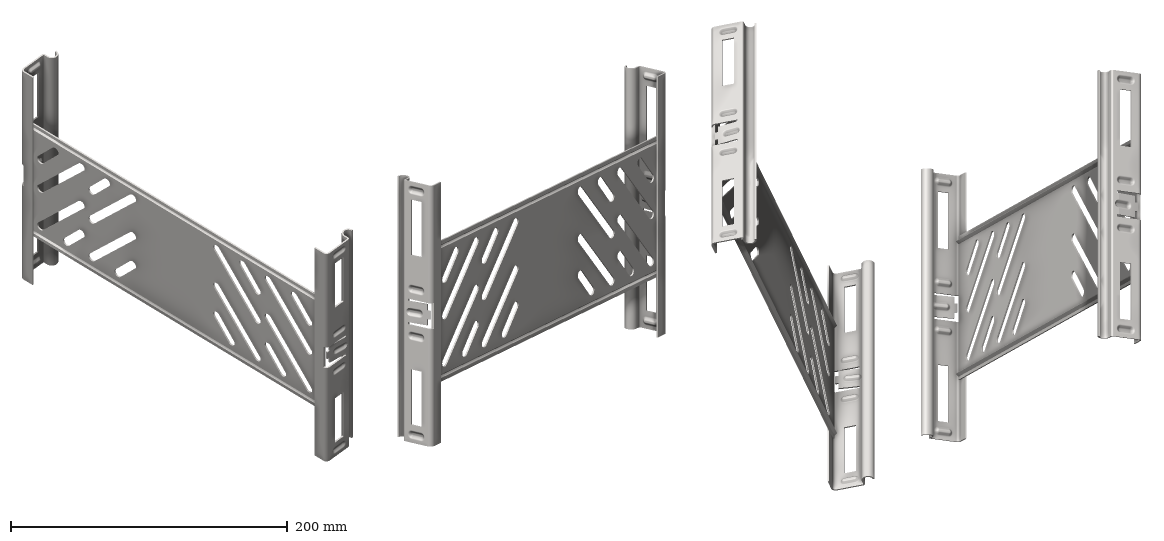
import cadquery as cq
import math

length = 300.0
depth = 33.3
rail_height = 200.0
sheet = 1.2

flange_width = 12.0
front_bend = 3.3
shelf_back = 25.0
shelf_bend = 1.5
shelf_front = shelf_back - sheet
curl_radius = (depth - shelf_front) / 2
curl_inner = curl_radius - sheet
curl_x = 4.8
curl_y = shelf_front + curl_radius

wall_middle = 13.5
window_width = 9.0
window_height = 42.5
window_z = 65.0

dimple_length = 15.0
dimple_width = 7.0
dimple_height = 1.92
dimple_draft = math.radians(45)
dimple_round = 1.35
dimple_zs = (18.0, 94.0)

cutout_half_height = 10.0
cutout_back = 20.7
tab_half_height = 8.0
tab_hinge = 19.0
tab_end = 5.0
neck_half_height = 3.3
neck_end = 2.7
tab_angle = 7.5
tab_dimple_y = 15.5

plate_length = length - 2 * front_bend
plate_half_height = 54.0
groove_z = 49.8
groove_depth = 1.5
groove_half_width = 1.35

slot_width = 6.5
slot_x = 131.5
slot_z = 40.5
long_run = 40.0
long_rise = 44.7
short_run = 14.5
short_rise = 16.8
slot_pitch = 50.5
slot_columns = 2


def rail_profile():
    """Front flange, wall, rear shelf and curl as one bent sheet."""
    diagonal = math.sqrt(0.5)
    front_inner = front_bend - sheet
    front_outer_mid = front_bend * (1 - diagonal)
    front_inner_mid = front_bend - front_inner * diagonal
    shelf_centre_y = shelf_back - shelf_bend
    shelf_inner = shelf_bend - sheet
    shelf_outer_mid = shelf_bend * diagonal
    shelf_inner_mid = shelf_inner * diagonal
    return (
        cq.Workplane("XY")
        .workplane(offset=-rail_height / 2)
        .moveTo(flange_width, 0)
        .lineTo(front_bend, 0)
        .threePointArc((front_outer_mid, front_outer_mid), (0, front_bend))
        .lineTo(0, shelf_centre_y)
        .threePointArc(
            (shelf_bend - shelf_outer_mid, shelf_centre_y + shelf_outer_mid),
            (shelf_bend, shelf_back),
        )
        .lineTo(curl_x, shelf_back)
        .threePointArc((curl_x + curl_inner, curl_y), (curl_x, curl_y + curl_inner))
        .lineTo(curl_x, depth)
        .threePointArc((curl_x + curl_radius, curl_y), (curl_x, shelf_front))
        .lineTo(shelf_bend, shelf_front)
        .threePointArc(
            (shelf_bend - shelf_inner_mid, shelf_centre_y + shelf_inner_mid),
            (sheet, shelf_centre_y),
        )
        .lineTo(sheet, front_bend)
        .threePointArc((front_inner_mid, front_inner_mid), (front_bend, sheet))
        .lineTo(flange_width, sheet)
        .close()
        .extrude(rail_height)
    )


def box(x_range, y_range, z_range):
    """Block between the given limits."""
    ranges = (x_range, y_range, z_range)
    low = [limits[0] for limits in ranges]
    size = [limits[1] - limits[0] for limits in ranges]
    return cq.Workplane("XY").box(*size, centered=False).translate(tuple(low))


def dimple_section():
    """Half of a dimple's cross-section: X is its height, Y runs outward from its centre line."""
    mouth = dimple_width / 2
    run = dimple_round * math.sin(dimple_draft)
    rise = dimple_round * (1 - math.cos(dimple_draft))
    mid_run = dimple_round * math.sin(dimple_draft / 2)
    mid_rise = dimple_round * (1 - math.cos(dimple_draft / 2))
    flank_run = (dimple_height - 2 * rise) / math.tan(dimple_draft)
    crown = mouth - 2 * run - flank_run
    return (
        cq.Workplane("XY")
        .lineTo(0, mouth)
        .threePointArc((mid_rise, mouth - mid_run), (rise, mouth - run))
        .lineTo(dimple_height - rise, crown + run)
        .threePointArc((dimple_height - mid_rise, crown + mid_run), (dimple_height, crown))
        .lineTo(dimple_height, 0)
        .close()
    )


def dimple_block(y, z, x):
    """Round-shouldered obround block rising inward from the plane at x."""
    straight = dimple_length - dimple_width
    end = dimple_section().revolve(180, (0, 0, 0), (1, 0, 0))
    end = end.rotate((0, 0, 0), (1, 0, 0), -90)
    flank = dimple_section().extrude(straight)
    flank = flank.rotate((0, 0, 0), (1, 0, 0), 90).translate((0, straight / 2, 0))
    block = flank.union(flank.mirror("XY"))
    end = end.translate((0, straight / 2, 0))
    block = block.union(end).union(end.mirror("XZ"))
    return block.translate((x, y, z))


def tilt(body):
    """Turn a piece of the tab inward about the hinge line on the outer face."""
    return body.rotate((0, tab_hinge, 0), (0, tab_hinge, 1), tab_angle)


def cut_window(rail, z):
    """Cut a rectangular window through the wall."""
    window = cq.Workplane("XY").box(4 * sheet, window_width, window_height)
    return rail.cut(window.translate((0, wall_middle, z)))


def press_dimple(rail, z):
    """Raise a boss on the inner face and sink a matching recess in the outer face."""
    rail = rail.union(dimple_block(wall_middle, z, sheet))
    return rail.cut(dimple_block(wall_middle, z, 0))


def cut_spring_tab(rail):
    """Open the wall and front bend around a dimpled tab that leans inward."""
    cutout_z = (-cutout_half_height, cutout_half_height)
    tab_z = (-tab_half_height, tab_half_height)
    neck_z = (-neck_half_height, neck_half_height)
    rail = rail.cut(box((0, front_bend), (0, cutout_back), cutout_z))
    root = box((0, sheet), (tab_hinge, cutout_back), tab_z)
    tab = box((0, sheet), (tab_end, tab_hinge), tab_z)
    tab = tab.union(box((0, sheet), (neck_end, tab_end), neck_z))
    rail = rail.union(root).union(tilt(tab))
    rail = rail.union(tilt(dimple_block(tab_dimple_y, 0, sheet)))
    return rail.cut(tilt(dimple_block(tab_dimple_y, 0, 0)))


def make_rail():
    """Left rail with its outer face at X = 0."""
    rail = rail_profile()
    for side in (-1, 1):
        rail = cut_window(rail, side * window_z)
        for z in dimple_zs:
            rail = press_dimple(rail, side * z)
    return cut_spring_tab(rail)


def diagonal_slot(start, run, rise):
    """Cutter for a slot from its lower left end centre."""
    middle = (start[0] + run / 2, 0, start[1] + rise / 2)
    slot_length = math.hypot(run, rise) + slot_width
    angle = math.degrees(math.atan2(rise, run))
    return cq.Workplane("XZ", origin=middle).slot2D(slot_length, slot_width, angle).extrude(-depth)


def make_plate():
    """Slotted sheet with a V-groove pressed backward along each long edge."""
    front = sheet
    back = front + sheet
    slope = math.atan2(groove_depth, groove_half_width)
    ridge_half_width = groove_half_width + sheet * math.tan(slope / 2)
    ridge_tip = front + groove_depth + sheet / math.cos(slope)
    half = (
        cq.Workplane("YZ")
        .workplane(offset=-plate_length / 2)
        .moveTo(front, 0)
        .lineTo(front, groove_z - groove_half_width)
        .lineTo(front + groove_depth, groove_z)
        .lineTo(front, groove_z + groove_half_width)
        .lineTo(front, plate_half_height)
        .lineTo(back, plate_half_height)
        .lineTo(back, groove_z + ridge_half_width)
        .lineTo(ridge_tip, groove_z)
        .lineTo(back, groove_z - ridge_half_width)
        .lineTo(back, 0)
        .close()
        .extrude(plate_length)
    )
    plate = half.union(half.mirror("XY"))
    for column in range(slot_columns):
        left = -slot_x + column * slot_pitch
        right = left + long_run
        for start, run, rise in (
            ((left, slot_z - short_rise), short_run, short_rise),
            ((left, slot_z - long_rise), long_run, long_rise),
            ((left, -slot_z), long_run, long_rise),
            ((right - short_run, -slot_z), short_run, short_rise),
        ):
            slot = diagonal_slot(start, run, rise)
            plate = plate.cut(slot).cut(slot.mirror("YZ"))
    return plate


left_rail = make_rail().translate((-length / 2, 0, 0))
rails = [left_rail, left_rail.mirror("YZ")]
plate = make_plate()
bodies = [plate, *rails]
result = cq.Compound.makeCompound([body.solids().val() for body in bodies])